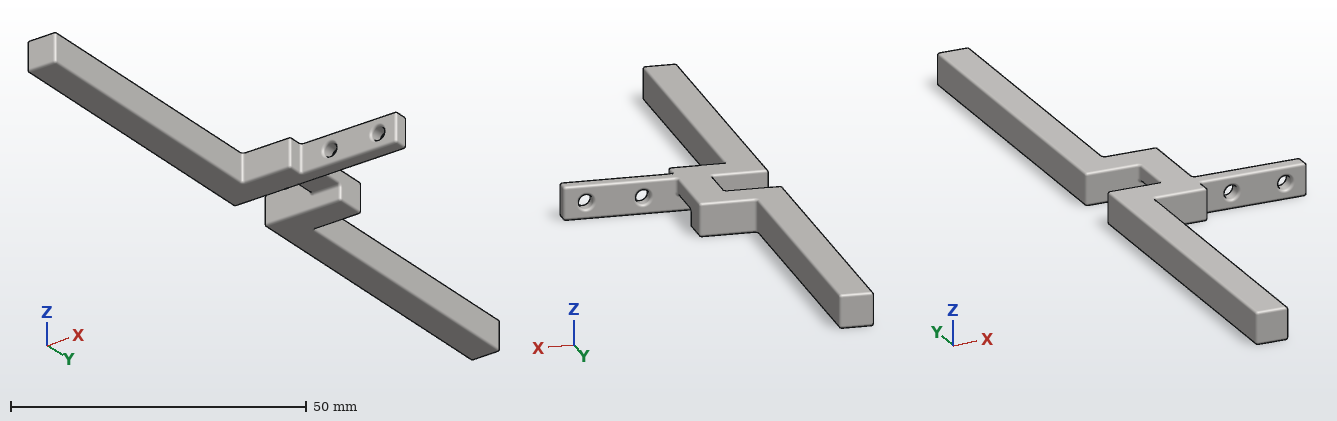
import cadquery as cq

length = 128.5
height = 6.0
reach = 36.0

bar_width = height
arm_length = 60.0
gap = length - 2 * arm_length
foot_reach = 16.0
web_width = bar_width
web_height = height / 2

tab_thickness = 3.0
hole_diameter = 2.6
hole_positions = (22.0, 32.0)

edge_radius = 0.5


def box_between(x_range, y_range, z_range):
    """Box spanning the given start and end along each axis."""
    (x0, x1), (y0, y1), (z0, z1) = x_range, y_range, z_range
    return cq.Workplane("XY").box(x1 - x0, y1 - y0, z1 - z0, centered=False).translate((x0, y0, z0))


def l_arm(side):
    """Bar with a short foot turned toward +X beside the gap; side is +1 or -1 along Y."""
    y_gap = side * gap / 2
    y_foot = y_gap + side * bar_width
    y_end = side * length / 2
    outline = [
        (0, y_gap),
        (foot_reach, y_gap),
        (foot_reach, y_foot),
        (bar_width, y_foot),
        (bar_width, y_end),
        (0, y_end),
    ]
    return cq.Workplane("XY").polyline(outline).close().extrude(height)


def web():
    """Half-height bridge across the gap, flush with the top and the +X ends of the feet."""
    return box_between(
        (foot_reach - web_width, foot_reach),
        (-gap / 2, gap / 2),
        (height - web_height, height),
    )


def tab():
    """Thin plate continuing the lower foot toward +X, flush with the gap face."""
    return box_between((foot_reach, reach), (-gap / 2 - tab_thickness, -gap / 2), (0, height))


def tab_holes():
    """Round holes along Y through the tab."""
    centres = [(x, height / 2) for x in hole_positions]
    return (
        cq.Workplane("XZ", origin=(0, -gap / 2, 0))
        .pushPoints(centres)
        .circle(hole_diameter / 2)
        .extrude(tab_thickness)
    )


body = l_arm(1).union(l_arm(-1)).union(web()).union(tab())
drilled_body = body.cut(tab_holes())
result = drilled_body.edges().fillet(edge_radius)